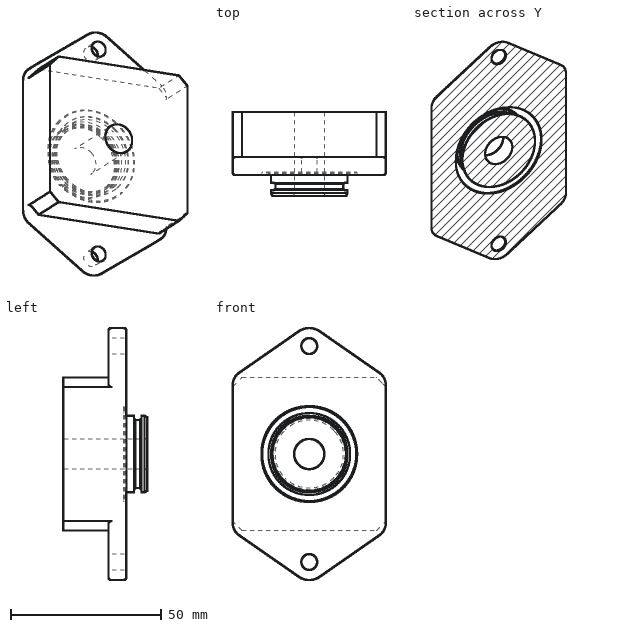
import cadquery as cq
import math


WIDTH = 51.0
LENGTH = 83.95
FLANGE_THICKNESS = 6.05
TIP_RADIUS = 6.05
SHOULDER_RADIUS = 5.0
SLOPE_ANGLE = math.radians(34.8)
FLANGE_EDGE_FILLET = 1.0
MOUNT_HOLE_DIAMETER = 5.2
MOUNT_HOLE_OFFSET = LENGTH / 2 - TIP_RADIUS

BODY_BACK = 21.1
BODY_CORNER_CHAMFER = 3.2

RECESS_DIAMETER = 32.0
RECESS_DEPTH = 1.0
RECESS_CHAMFER = 0.3
COLLAR_DIAMETER = 27.3
COLLAR_HEIGHT = 0.7

SPIGOT_DIAMETER = 25.5
SPIGOT_LENGTH = 7.0
SPIGOT_CHAMFER_LENGTH = 1.0
SPIGOT_CHAMFER_DEPTH = 0.5
GROOVE_START = 2.5
GROOVE_END = 4.95
GROOVE_DIAMETER = 22.7
GROOVE_FLANK_DIAMETER = 23.75
GROOVE_TAPER_LENGTH = 0.4
BORE_DIAMETER = 10.0
BORE_MOUTH_FILLET = 1.0


def front_plane(y):
    """Sketch plane at the given y, facing -Y, with local axes along X and Z."""
    return cq.Workplane("XZ", origin=(0, y, 0))


def make_flange():
    half_width = WIDTH / 2
    apex = MOUNT_HOLE_OFFSET + TIP_RADIUS / math.cos(SLOPE_ANGLE)
    shoulder = apex - half_width * math.tan(SLOPE_ANGLE)
    outline = [
        (0, apex),
        (half_width, shoulder),
        (half_width, -shoulder),
        (0, -apex),
        (-half_width, -shoulder),
        (-half_width, shoulder),
    ]
    flange = front_plane(FLANGE_THICKNESS).polyline(outline).close().extrude(FLANGE_THICKNESS)
    flange = flange.edges("|Y and (<Z or >Z)").fillet(TIP_RADIUS)
    flange = flange.edges("|Y and (<X or >X)").fillet(SHOULDER_RADIUS)
    return flange.faces("<Y or >Y").edges().fillet(FLANGE_EDGE_FILLET)


def make_body():
    body_start = FLANGE_THICKNESS - FLANGE_EDGE_FILLET
    body = front_plane(BODY_BACK).rect(WIDTH, WIDTH).extrude(BODY_BACK - body_start)
    return body.edges("|Y").chamfer(BODY_CORNER_CHAMFER)


def make_recess():
    recess = front_plane(RECESS_DEPTH).circle(RECESS_DIAMETER / 2).extrude(RECESS_DEPTH)
    return recess.faces(">Y").edges().chamfer(RECESS_CHAMFER)


def make_spigot():
    """Revolve the collar and grooved spigot around the Y axis."""
    radius = SPIGOT_DIAMETER / 2
    collar_radius = COLLAR_DIAMETER / 2
    groove_radius = GROOVE_DIAMETER / 2
    flank_radius = GROOVE_FLANK_DIAMETER / 2
    collar_face = RECESS_DEPTH - COLLAR_HEIGHT
    profile = [
        (0, FLANGE_THICKNESS),
        (collar_radius, FLANGE_THICKNESS),
        (collar_radius, collar_face),
        (radius, collar_face),
        (radius, -GROOVE_START),
        (flank_radius, -GROOVE_START),
        (groove_radius, -GROOVE_START - GROOVE_TAPER_LENGTH),
        (groove_radius, -GROOVE_END + GROOVE_TAPER_LENGTH),
        (flank_radius, -GROOVE_END),
        (radius, -GROOVE_END),
        (radius, -SPIGOT_LENGTH + SPIGOT_CHAMFER_LENGTH),
        (radius - SPIGOT_CHAMFER_DEPTH, -SPIGOT_LENGTH),
        (0, -SPIGOT_LENGTH),
    ]
    return cq.Workplane("XY").polyline(profile).close().revolve(360, (0, 0), (0, 1))


def make_mount_holes():
    centers = [(0, MOUNT_HOLE_OFFSET), (0, -MOUNT_HOLE_OFFSET)]
    return front_plane(BODY_BACK).pushPoints(centers).circle(MOUNT_HOLE_DIAMETER / 2).extrude(BODY_BACK)


def cut_bore(part):
    """Cut the bore right through and round its mouth on the spigot face."""
    bore = front_plane(BODY_BACK).circle(BORE_DIAMETER / 2).extrude(BODY_BACK + SPIGOT_LENGTH)
    bored = part.cut(bore)
    mouth = bored.faces("<Y").edges(cq.selectors.RadiusNthSelector(0))
    return mouth.fillet(BORE_MOUTH_FILLET)


housing = make_flange().union(make_body())
housing = housing.cut(make_recess()).union(make_spigot())
housing = housing.cut(make_mount_holes())
result = cut_bore(housing)